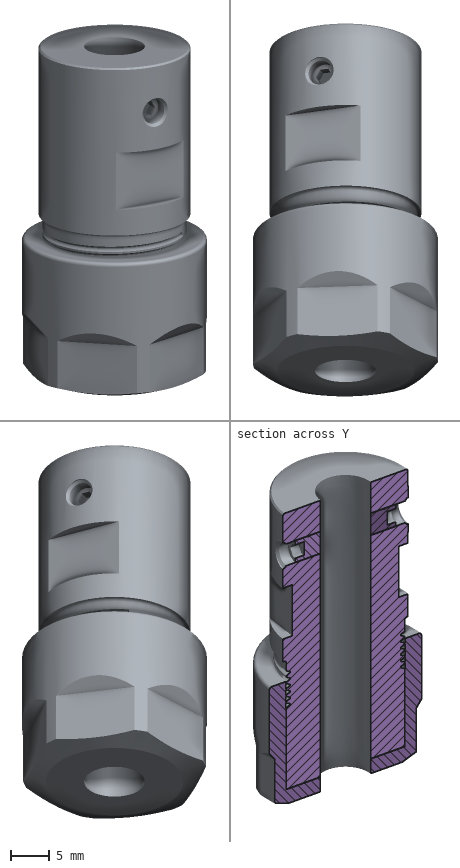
import cadquery as cq
import math

total_length = 45.2
bore_diameter = 8.0

shank_diameter = 20.0
shank_bottom_z = 22.25
shank_chamfer = 0.23
spigot_diameter = 18.9
spigot_fillet = 0.35

wrench_flat_width = 17.0
wrench_flat_bottom_z = 25.8
wrench_flat_height = 7.8

thread_pitch = 1.0
thread_depth = 0.6
thread_root_width = 0.15
thread_mouth_width = 0.72
thread_start_z = 20.4
thread_start_angle = 40.0
thread_turns = 6
thread_overshoot = 0.1

screw_diameter = 3.3
screw_z = total_length - 6.55
screw_countersink_diameter = 4.0
screw_recess = 2.0
socket_across_flats = 2.0
socket_depth = 1.35
socket_sides = 6
socket_turn = 30.0
screw_directions = (-1, 1)

nut_diameter = 24.3
nut_height = 19.07
nut_fillet = 0.5
nut_floor = 2.25
nut_face_diameter = 18.1
nut_cone_angle = 20.0
nut_across_flats = 21.88
nut_flat_top_z = 7.65
nut_ramp_height = 1.7
nut_flat_count = 6
nut_turn = -15.0

bore_radius = bore_diameter / 2
shank_radius = shank_diameter / 2
spigot_radius = spigot_diameter / 2
nut_radius = nut_diameter / 2
nut_flat_distance = nut_across_flats / 2
nut_face_radius = nut_face_diameter / 2
nut_cone_height = (nut_radius - nut_face_radius) * math.tan(math.radians(nut_cone_angle))
screw_outer_x = shank_radius - screw_recess


def cylinder_along_x(radius, start_x, end_x, z):
    """Round bar between two X positions, centred on Y = 0."""
    return (
        cq.Workplane("YZ", origin=(start_x, 0, z))
        .circle(radius)
        .extrude(end_x - start_x)
    )


def turned_holder():
    """Shank, spigot and through bore as one turned shape."""
    return (
        cq.Workplane("XZ")
        .moveTo(bore_radius, nut_floor)
        .lineTo(spigot_radius, nut_floor)
        .lineTo(spigot_radius, shank_bottom_z - spigot_fillet)
        .radiusArc((spigot_radius + spigot_fillet, shank_bottom_z), spigot_fillet)
        .lineTo(shank_radius, shank_bottom_z)
        .lineTo(shank_radius, total_length - shank_chamfer)
        .lineTo(shank_radius - shank_chamfer, total_length)
        .lineTo(bore_radius, total_length)
        .close()
        .revolve(360, (0, 0, 0), (0, 1, 0))
    )


def thread_groove():
    """Trapezoidal groove that winds down the spigot from its upper end."""
    length = thread_pitch * thread_turns
    root_radius = spigot_radius - thread_depth
    flank_slope = (thread_mouth_width - thread_root_width) / 2 / thread_depth
    root_half = thread_root_width / 2
    mouth_half = thread_mouth_width / 2 + thread_overshoot * flank_slope
    outer_radius = spigot_radius + thread_overshoot
    helix = cq.Wire.makeHelix(thread_pitch, length, root_radius)
    groove = (
        cq.Workplane("XZ")
        .moveTo(root_radius, -root_half)
        .lineTo(outer_radius, -mouth_half)
        .lineTo(outer_radius, mouth_half)
        .lineTo(root_radius, root_half)
        .close()
        .sweep(cq.Workplane(obj=helix), isFrenet=True)
    )
    return (
        groove.rotate((0, 0, 0), (0, 0, 1), thread_start_angle)
        .translate((0, 0, thread_start_z - length))
    )


def wrench_flat(direction):
    """Block removed from one side of the shank."""
    depth = shank_radius
    center_x = direction * (wrench_flat_width / 2 + depth / 2)
    return (
        cq.Workplane("XY", origin=(center_x, 0, wrench_flat_bottom_z))
        .rect(depth, shank_diameter)
        .extrude(wrench_flat_height)
    )


def screw_hole(direction):
    """Radial hole from the bore outwards, with a 90 degree countersink."""
    hole_radius = screw_diameter / 2
    sink_radius = screw_countersink_diameter / 2
    rim_x = math.sqrt(shank_radius**2 - sink_radius**2)
    cone_start_x = rim_x - (sink_radius - hole_radius)
    profile = (
        cq.Workplane("XZ")
        .lineTo(0, hole_radius)
        .lineTo(cone_start_x, hole_radius)
        .lineTo(rim_x, sink_radius)
        .lineTo(shank_radius, sink_radius)
        .lineTo(shank_radius, 0)
        .close()
    )
    hole = profile.revolve(360, (0, 0, 0), (1, 0, 0)).translate((0, 0, screw_z))
    return hole if direction > 0 else hole.mirror("YZ")


def make_holder():
    holder = turned_holder().cut(thread_groove())
    for direction in screw_directions:
        holder = holder.cut(wrench_flat(direction)).cut(screw_hole(direction))
    return holder


def make_set_screw(direction):
    """Headless screw, its inner end hollowed flush with the bore, with a hexagon socket outside."""
    bore = cq.Workplane("XY").circle(bore_radius).extrude(total_length)
    screw = cylinder_along_x(screw_diameter / 2, 0, screw_outer_x, screw_z).cut(bore)
    socket = (
        cq.Workplane("YZ", origin=(screw_outer_x - socket_depth, 0, screw_z))
        .transformed(rotate=(0, 0, socket_turn))
        .polygon(socket_sides, socket_across_flats, circumscribed=True)
        .extrude(socket_depth)
    )
    screw = screw.cut(socket)
    return screw if direction > 0 else screw.mirror("YZ")


def turned_nut():
    """Cup with a coned mouth; its floor carries the holder and passes the bore."""
    return (
        cq.Workplane("XZ")
        .moveTo(bore_radius, 0)
        .lineTo(nut_face_radius, 0)
        .lineTo(nut_radius, nut_cone_height)
        .lineTo(nut_radius, nut_height - nut_fillet)
        .radiusArc((nut_radius - nut_fillet, nut_height), -nut_fillet)
        .lineTo(spigot_radius, nut_height)
        .lineTo(spigot_radius, nut_floor)
        .lineTo(bore_radius, nut_floor)
        .close()
        .revolve(360, (0, 0, 0), (0, 1, 0))
    )


def nut_flat(index):
    """Wedge that leaves one hexagon flat with a sloped run-out above it."""
    angle = nut_turn + index * 360 / nut_flat_count
    return (
        cq.Workplane("YZ", origin=(-nut_radius, 0, 0))
        .moveTo(-nut_flat_distance, 0)
        .lineTo(-nut_flat_distance, nut_flat_top_z)
        .lineTo(-nut_radius, nut_flat_top_z + nut_ramp_height)
        .lineTo(-nut_radius, 0)
        .close()
        .extrude(nut_diameter)
        .rotate((0, 0, 0), (0, 0, 1), angle)
    )


def make_nut():
    nut = turned_nut()
    for index in range(nut_flat_count):
        nut = nut.cut(nut_flat(index))
    return nut


holder = make_holder()
nut = make_nut()
set_screws = [make_set_screw(direction) for direction in screw_directions]

result = cq.Compound.makeCompound([
    holder.val(),
    nut.val(),
    *[screw.val() for screw in set_screws],
])